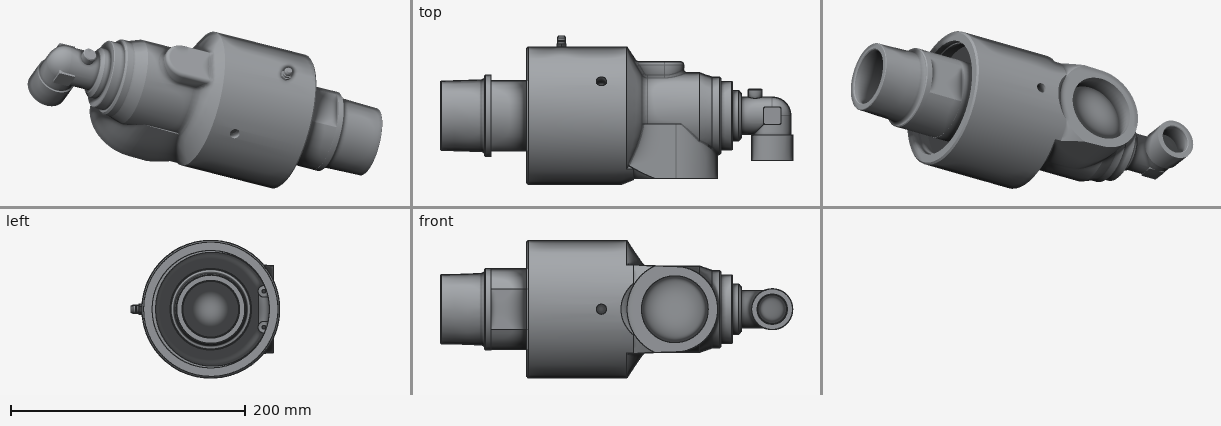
import cadquery as cq
import math


SEAM_TOLERANCE = 1e-3

SHAFT_RADIUS = 69.5 / 2
NOSE_TIP_RADIUS = 29.5
NOSE_LENGTH = 34.5
NOSE_TAPER = 1 / 32
TIP_CHAMFER = 0.5
COLLAR_START = 37.5
COLLAR_END = 43.0
COLLAR_CHAMFER = 0.8
FLATS_WIDTH = 60.0
FLATS_END = 74.6
FLATS_RELIEF = 0.15
SHAFT_BORE_RADIUS = 47.6 / 2
SHAFT_BORE_DEPTH = 73.0
SHAFT_BORE_CHAMFER = 0.8

DRUM_RADIUS = 117.5 / 2
DRUM_START = 73.2
DRUM_END = 158.5
DRUM_CHAMFER = 1.5
RECESS_RADIUS = 100.08 / 2
RECESS_DEPTH = 15.8
DRAIN_DIAMETER = 8.6
DRAIN_DEPTH = 10.0
DRAIN_X = 136.9
DRAIN_COUNT = 3

RING_DEPTH = 5.5
RING_THICKNESS = 3.0
RING_INNER_RADIUS = 48.55
RING_OFFSET = 1.45
LUG_RADIUS = 5.0
LUG_Y = -45.3
LUG_Z = 15.3
LUG_HOLE_DIAMETER = 3.12

NECK_RADIUS = 36.8
NECK_START = 173.2
NECK_BLEND = 2.8
NECK_END = 220.5
CAP_RADIUS = 33.0
CAP_START = 231.3
CAP_END = 237.5
CAP_CHAMFER = 1.5
GLAND_RADIUS = 29.3
GLAND_END = 248.5
GLAND_CHAMFER = 0.6
NUT_RADIUS = 21.6
NUT_CONE_START = 253.8
NUT_END = 256.5
NUT_END_RADIUS = 18.5

PORT_X = 199.5
PORT_FACE_Y = -53.5
PORT_RADIUS = 36.5
PORT_FLANK_TILT = 1.8
PORT_INNER_Y = -7.0
PORT_BORE_RADIUS = 28.5
PORT_BLEND_RADIUS = 1.2
PORT_BORE_DEPTH = 18.5
SPOTFACE_RADIUS = 40.7
SPOTFACE_SLOPE = 0.8
SHOULDER_END = 164.4
SHOULDER_HALF_HEIGHT = 37.5

PAD_X = 190.7
PAD_RADIUS = 16.4
PAD_TOP_Y = 46.2
PAD_EDGE_FILLET = 3.0
PAD_BASE_FILLET = 2.6

TUBE_RADIUS = 32 / 2
SOCKET_RADIUS = 35 / 2
ELBOW_X = 300 - SOCKET_RADIUS
SOCKET_START_Y = -16.5
SOCKET_END_Y = -38.2
SOCKET_BORE_RADIUS = 12.3
SOCKET_BORE_DEPTH = 17.5
SOCKET_BORE_CHAMFER = 0.6
ELBOW_BLOCK_SIDE = 14.6
ELBOW_BLOCK_FILLET = 1.0
PLUG_X = 267.9
PLUG_RADIUS = 6.0
PLUG_TOP_Y = 22.8
PLUG_CHAMFER = 0.8

NIPPLE_X = 102.9
NIPPLE_TOP_Y = 126.91 - DRUM_RADIUS
NIPPLE_HEX_WIDTH = 8.0
NIPPLE_HEX_TOP_Y = 61.0
NIPPLE_HEAD_RADIUS = 3.5
NIPPLE_NECK_RADIUS = 2.9
NIPPLE_TIP_RADIUS = 2.5
NIPPLE_NECK_BOTTOM_Y = 63.2
NIPPLE_NECK_TOP_Y = 64.2
NIPPLE_TIP_Y = 66.4


def x_cylinder(start, end, radius):
    """Cylinder on the main axis."""
    return cq.Workplane("YZ").workplane(offset=start).circle(radius).extrude(end - start)


def y_cylinder(x, start, end, radius):
    """Cylinder parallel to Y at a given X, from Y = start to Y = end."""
    plane = cq.Plane(origin=(x, start, 0), xDir=(1, 0, 0), normal=(0, 1, 0))
    return cq.Workplane(plane).circle(radius).extrude(end - start)


def y_revolve(x, points):
    """Solid turned about a line parallel to Y; points are (radius, y)."""
    profile = cq.Workplane("XY", origin=(x, 0, 0)).polyline(points).close()
    return profile.revolve(360, (0, 0, 0), (0, 1, 0))


def join_blended(base, addition, radius, wanted=None):
    """Union of two solids with a fillet along the seam; wanted may narrow the seam by edge middle."""
    joined = base.union(addition)
    old_edges = base.edges().vals() + addition.edges().vals()
    seam = []
    for edge in joined.edges().vals():
        middle = edge.positionAt(0.5)
        middle_vertex = cq.Vertex.makeVertex(*middle.toTuple())
        is_new = all(old.distance(middle_vertex) > SEAM_TOLERANCE for old in old_edges)
        if is_new and (wanted is None or wanted(middle)):
            seam.append(edge)
    return joined.newObject(seam).fillet(radius)


def make_shaft():
    nose_end_radius = NOSE_TIP_RADIUS + NOSE_TAPER * NOSE_LENGTH
    relief_radius = SHAFT_RADIUS - FLATS_RELIEF
    blend = COLLAR_START - NOSE_LENGTH
    shaft = (
        cq.Workplane("XY")
        .lineTo(0, NOSE_TIP_RADIUS - TIP_CHAMFER)
        .lineTo(TIP_CHAMFER, NOSE_TIP_RADIUS)
        .lineTo(NOSE_LENGTH, nose_end_radius)
        .tangentArcPoint((COLLAR_START, nose_end_radius + blend), relative=False)
        .lineTo(COLLAR_START, SHAFT_RADIUS - COLLAR_CHAMFER)
        .lineTo(COLLAR_START + COLLAR_CHAMFER, SHAFT_RADIUS)
        .lineTo(COLLAR_END, SHAFT_RADIUS)
        .lineTo(COLLAR_END, relief_radius)
        .lineTo(FLATS_END, relief_radius)
        .lineTo(FLATS_END, SHAFT_RADIUS)
        .lineTo(DRUM_END, SHAFT_RADIUS)
        .lineTo(DRUM_END, 0)
        .close()
        .revolve(360, (0, 0, 0), (1, 0, 0))
    )
    flats_length = FLATS_END - COLLAR_END
    for side in (-1, 1):
        waste = cq.Workplane("XY").box(flats_length, SHAFT_RADIUS, 2 * SHAFT_RADIUS)
        middle_y = side * (FLATS_WIDTH + SHAFT_RADIUS) / 2
        shaft = shaft.cut(waste.translate((COLLAR_END + flats_length / 2, middle_y, 0)))
    return shaft


def make_housing():
    """Drum, neck, end cap, gland and nut, turned in one profile."""
    cone_drop = DRUM_RADIUS - NECK_RADIUS
    cone_length = NECK_START - DRUM_END
    cone_side = math.hypot(cone_drop, cone_length)
    blend_x = NECK_START - NECK_BLEND * cone_length / cone_side
    blend_radius = NECK_RADIUS + NECK_BLEND * cone_drop / cone_side
    return (
        cq.Workplane("XY")
        .moveTo(DRUM_START, 0)
        .lineTo(DRUM_START, DRUM_RADIUS - DRUM_CHAMFER)
        .lineTo(DRUM_START + DRUM_CHAMFER, DRUM_RADIUS)
        .lineTo(DRUM_END, DRUM_RADIUS)
        .lineTo(blend_x, blend_radius)
        .tangentArcPoint((NECK_START + NECK_BLEND, NECK_RADIUS), relative=False)
        .lineTo(NECK_END, NECK_RADIUS)
        .lineTo(CAP_START, CAP_RADIUS)
        .lineTo(CAP_END, CAP_RADIUS)
        .lineTo(CAP_END + CAP_CHAMFER, CAP_RADIUS - CAP_CHAMFER)
        .lineTo(CAP_END + CAP_CHAMFER, GLAND_RADIUS)
        .lineTo(GLAND_END - GLAND_CHAMFER, GLAND_RADIUS)
        .lineTo(GLAND_END, GLAND_RADIUS - GLAND_CHAMFER)
        .lineTo(GLAND_END, NUT_RADIUS)
        .lineTo(NUT_CONE_START, NUT_RADIUS)
        .lineTo(NUT_END, NUT_END_RADIUS)
        .lineTo(NUT_END, 0)
        .close()
        .revolve(360, (0, 0, 0), (1, 0, 0))
    )


def make_retaining_ring():
    """Eccentric snap ring with two drilled lugs on its -Y side."""
    start = DRUM_START + RING_DEPTH
    end = start + RING_THICKNESS
    bore_disc = x_cylinder(start, end, RECESS_RADIUS)
    opening = x_cylinder(start, end, RING_INNER_RADIUS).translate((0, -RING_OFFSET, 0))
    ring = bore_disc.cut(opening)
    lug_plane = cq.Workplane("YZ").workplane(offset=start)
    centers = [(LUG_Y, -LUG_Z), (LUG_Y, LUG_Z)]
    lugs = lug_plane.pushPoints(centers).circle(LUG_RADIUS).extrude(RING_THICKNESS)
    outward = [(LUG_Y - LUG_RADIUS / 2, -LUG_Z), (LUG_Y - LUG_RADIUS / 2, LUG_Z)]
    roots = lug_plane.pushPoints(outward).rect(LUG_RADIUS, 2 * LUG_RADIUS).extrude(RING_THICKNESS)
    holes = lug_plane.pushPoints(centers).circle(LUG_HOLE_DIAMETER / 2).extrude(RING_THICKNESS)
    return ring.union(lugs.union(roots).intersect(bore_disc)).cut(holes)


def make_port():
    """Port block with tilted flanks, a rounded end and a bevelled outer face."""
    tilt = math.radians(PORT_FLANK_TILT)
    tangent_x = PORT_X + PORT_RADIUS * math.sin(tilt)
    tangent_z = PORT_RADIUS * math.cos(tilt)
    back_z = tangent_z + (tangent_x - DRUM_END) * math.tan(tilt)
    plane = cq.Plane(origin=(0, PORT_INNER_Y, 0), xDir=(1, 0, 0), normal=(0, -1, 0))
    block = (
        cq.Workplane(plane)
        .moveTo(DRUM_END, -back_z)
        .lineTo(tangent_x, -tangent_z)
        .threePointArc((PORT_X + PORT_RADIUS, 0), (tangent_x, tangent_z))
        .lineTo(DRUM_END, back_z)
        .close()
        .extrude(PORT_INNER_Y - PORT_FACE_Y)
    )
    bevel_drop = PORT_INNER_Y - PORT_FACE_Y
    bevel_radius = SPOTFACE_RADIUS + bevel_drop / SPOTFACE_SLOPE
    bevel = y_revolve(PORT_X, [
        (0, PORT_FACE_Y), (SPOTFACE_RADIUS, PORT_FACE_Y), (bevel_radius, PORT_INNER_Y), (0, PORT_INNER_Y),
    ])
    return block.intersect(bevel)


def make_shoulder():
    """Stretch of the drum surface carried on past the cone beside the port."""
    shoulder_length = SHOULDER_END - DRUM_END
    shoulder_box = cq.Workplane("XY").box(shoulder_length, DRUM_RADIUS, 2 * SHOULDER_HALF_HEIGHT)
    shoulder_box = shoulder_box.translate((DRUM_END + shoulder_length / 2, -DRUM_RADIUS / 2, 0))
    return x_cylinder(DRUM_END, SHOULDER_END, DRUM_RADIUS).intersect(shoulder_box)


def is_port_blend(middle):
    """True for seam edges along the flanks' drum side and around the rounded end."""
    below_top_seam = middle.y < PORT_INNER_Y - SEAM_TOLERANCE
    beside_flank = abs(middle.z) > PORT_RADIUS
    around_end = middle.x > PORT_X
    return below_top_seam and (beside_flank or around_end)


def make_spotface():
    """Tool that clears the drum in front of the port with a 45 degree wall."""
    depth = DRUM_RADIUS + PORT_FACE_Y
    return y_revolve(PORT_X, [
        (0, PORT_FACE_Y), (SPOTFACE_RADIUS, PORT_FACE_Y), (SPOTFACE_RADIUS + depth, -DRUM_RADIUS), (0, -DRUM_RADIUS),
    ])


def make_pad():
    """Round-ended pad on the +Y side, running back into the drum cone."""
    plane = cq.Plane(origin=(0, 0, 0), xDir=(1, 0, 0), normal=(0, -1, 0))
    return (
        cq.Workplane(plane)
        .moveTo(DRUM_END, -PAD_RADIUS)
        .lineTo(PAD_X, -PAD_RADIUS)
        .threePointArc((PAD_X + PAD_RADIUS, 0), (PAD_X, PAD_RADIUS))
        .lineTo(DRUM_END, PAD_RADIUS)
        .close()
        .extrude(-PAD_TOP_Y)
        .faces(">Y")
        .edges("not <X")
        .fillet(PAD_EDGE_FILLET)
    )


def make_elbow():
    tube = x_cylinder(NUT_END, ELBOW_X, TUBE_RADIUS)
    outlet = y_cylinder(ELBOW_X, SOCKET_START_Y, 0, TUBE_RADIUS)
    corner = cq.Workplane("XY").sphere(TUBE_RADIUS).translate((ELBOW_X, 0, 0))
    socket = y_cylinder(ELBOW_X, SOCKET_END_Y, SOCKET_START_Y, SOCKET_RADIUS)
    block = (
        cq.Workplane("XY")
        .box(ELBOW_BLOCK_SIDE, ELBOW_BLOCK_SIDE, 2 * TUBE_RADIUS)
        .edges("|Z")
        .fillet(ELBOW_BLOCK_FILLET)
        .translate((ELBOW_X, 0, 0))
    )
    plug = y_cylinder(PLUG_X, 0, PLUG_TOP_Y, PLUG_RADIUS).faces(">Y").chamfer(PLUG_CHAMFER)
    bore = y_cylinder(ELBOW_X, SOCKET_END_Y, SOCKET_END_Y + SOCKET_BORE_DEPTH, SOCKET_BORE_RADIUS)
    elbow = tube.union(outlet).union(corner).union(socket).union(block).union(plug).cut(bore)
    mouth_radius = SOCKET_BORE_RADIUS + SOCKET_BORE_CHAMFER
    mouth_end = SOCKET_END_Y + SOCKET_BORE_CHAMFER
    return elbow.cut(y_revolve(ELBOW_X, [
        (0, SOCKET_END_Y), (mouth_radius, SOCKET_END_Y), (SOCKET_BORE_RADIUS, mouth_end), (0, mouth_end),
    ]))


def make_nipple():
    base_y = RECESS_RADIUS
    plane = cq.Plane(origin=(NIPPLE_X, base_y, 0), xDir=(0, 0, 1), normal=(0, 1, 0))
    hex_corners = NIPPLE_HEX_WIDTH / math.cos(math.pi / 6)
    hexagon = cq.Workplane(plane).polygon(6, hex_corners).extrude(NIPPLE_HEX_TOP_Y - base_y)
    head = y_revolve(NIPPLE_X, [
        (0, base_y),
        (NIPPLE_HEAD_RADIUS, base_y),
        (NIPPLE_HEAD_RADIUS, NIPPLE_NECK_BOTTOM_Y),
        (NIPPLE_NECK_RADIUS, NIPPLE_NECK_BOTTOM_Y),
        (NIPPLE_NECK_RADIUS, NIPPLE_NECK_TOP_Y),
        (NIPPLE_HEAD_RADIUS, NIPPLE_NECK_TOP_Y),
        (NIPPLE_HEAD_RADIUS, NIPPLE_TIP_Y),
        (NIPPLE_TIP_RADIUS, NIPPLE_TOP_Y),
        (0, NIPPLE_TOP_Y),
    ])
    return hexagon.union(head)


def make_shaft_bore():
    mouth_radius = SHAFT_BORE_RADIUS + SHAFT_BORE_CHAMFER
    return (
        cq.Workplane("XY")
        .lineTo(0, mouth_radius)
        .lineTo(SHAFT_BORE_CHAMFER, SHAFT_BORE_RADIUS)
        .lineTo(SHAFT_BORE_DEPTH, SHAFT_BORE_RADIUS)
        .lineTo(SHAFT_BORE_DEPTH, 0)
        .close()
        .revolve(360, (0, 0, 0), (1, 0, 0))
    )


def make_drains():
    """Blind radial holes spread evenly around the drum, the first one toward -Y."""
    first = y_cylinder(DRAIN_X, -DRUM_RADIUS, DRAIN_DEPTH - DRUM_RADIUS, DRAIN_DIAMETER / 2)
    drains = first
    for index in range(1, DRAIN_COUNT):
        drains = drains.union(first.rotate((0, 0, 0), (1, 0, 0), index * 360 / DRAIN_COUNT))
    return drains


recess = x_cylinder(DRUM_START, DRUM_START + RECESS_DEPTH, RECESS_RADIUS)
housing = join_blended(make_housing(), make_port(), PORT_BLEND_RADIUS, is_port_blend)
housing = join_blended(housing, make_pad(), PAD_BASE_FILLET)
housing = housing.union(make_shoulder()).cut(make_spotface()).cut(recess)
housing = housing.cut(make_drains())
port_bore = y_cylinder(PORT_X, PORT_FACE_Y, PORT_FACE_Y + PORT_BORE_DEPTH, PORT_BORE_RADIUS)
housing = housing.cut(port_bore).union(make_elbow()).union(make_nipple())

result = housing.union(make_retaining_ring()).union(make_shaft()).cut(make_shaft_bore())